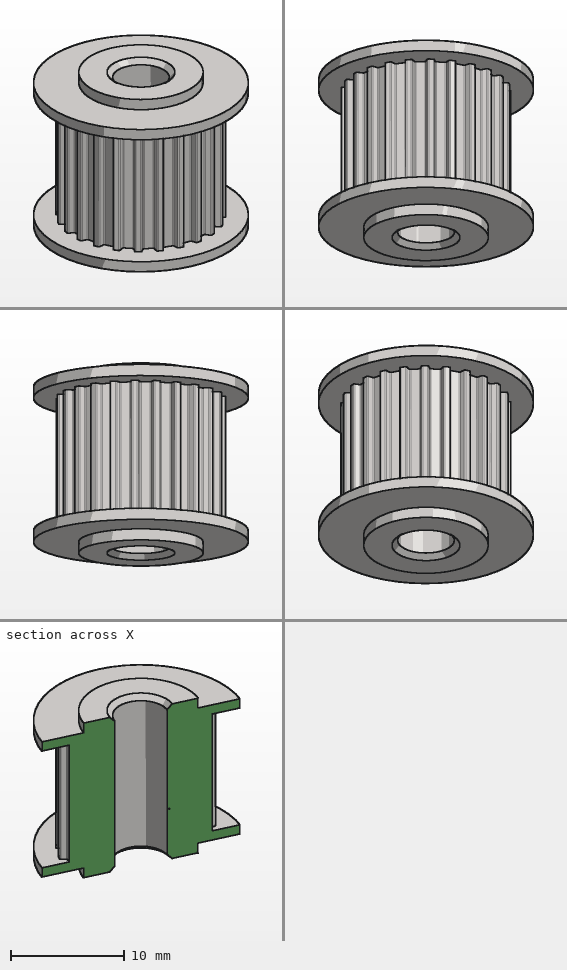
import cadquery as cq
import math

TOOTH_COUNT = 24
BELT_PITCH = 2.032
PITCH_LINE_OFFSET = 0.254
GROOVE_DEPTH = 0.635
GROOVE_FLOOR_WIDTH = 0.94
FLANK_ANGLE = 20.0
GROOVE_FILLET = 0.12
TOOTH_LENGTH = 12.0

FLANGE_DIAMETER = 19.0
FLANGE_THICKNESS = 1.0
HUB_DIAMETER = 11.0
HUB_HEIGHT = 1.0

BORE_DIAMETER = 5.0
BORE_CHAMFER = 0.5

TIP_RADIUS = TOOTH_COUNT * BELT_PITCH / (2 * math.pi) - PITCH_LINE_OFFSET
FLOOR_RADIUS = TIP_RADIUS - GROOVE_DEPTH
TOOTH_ANGLE = 360.0 / TOOTH_COUNT
TEETH_BOTTOM = HUB_HEIGHT + FLANGE_THICKNESS
TEETH_TOP = TEETH_BOTTOM + TOOTH_LENGTH
TOTAL_HEIGHT = TEETH_TOP + FLANGE_THICKNESS + HUB_HEIGHT


def disc(diameter, bottom, height):
    """Solid disc on the Z axis, starting at the given height."""
    return cq.Workplane("XY").workplane(offset=bottom).circle(diameter / 2).extrude(height)


def polar(radius, angle):
    """Point at a radius and an angle in degrees from +X."""
    return (radius * math.cos(math.radians(angle)), radius * math.sin(math.radians(angle)))


def tip_half_angle():
    """Angle, in degrees, from a groove centreline to its sharp tip corner."""
    flank = math.radians(FLANK_ANGLE)
    floor_half = GROOVE_FLOOR_WIDTH / 2
    axis_distance = floor_half * math.cos(flank) - FLOOR_RADIUS * math.sin(flank)
    return FLANK_ANGLE + math.degrees(math.asin(axis_distance / TIP_RADIUS))


def toothed_barrel():
    """Grooved barrel with a groove centred on +X, all groove edges rounded."""
    floor_half_angle = math.degrees(math.atan2(GROOVE_FLOOR_WIDTH / 2, FLOOR_RADIUS))
    floor_corner_radius = math.hypot(GROOVE_FLOOR_WIDTH / 2, FLOOR_RADIUS)
    tip_angle = tip_half_angle()

    outline = cq.Workplane("XY").workplane(offset=TEETH_BOTTOM)
    outline = outline.moveTo(*polar(floor_corner_radius, -floor_half_angle))
    for tooth in range(TOOTH_COUNT):
        groove = tooth * TOOTH_ANGLE
        next_groove = groove + TOOTH_ANGLE
        outline = outline.lineTo(*polar(floor_corner_radius, groove + floor_half_angle))
        outline = outline.lineTo(*polar(TIP_RADIUS, groove + tip_angle))
        outline = outline.threePointArc(
            polar(TIP_RADIUS, groove + TOOTH_ANGLE / 2),
            polar(TIP_RADIUS, next_groove - tip_angle),
        )
        if tooth < TOOTH_COUNT - 1:
            outline = outline.lineTo(*polar(floor_corner_radius, next_groove - floor_half_angle))
    barrel = outline.close().extrude(TOOTH_LENGTH)
    return barrel.edges("|Z").fillet(GROOVE_FILLET)


def end_caps():
    """Flange and hub discs at both ends of the toothed barrel."""
    lower = disc(HUB_DIAMETER, 0, HUB_HEIGHT)
    lower = lower.union(disc(FLANGE_DIAMETER, HUB_HEIGHT, FLANGE_THICKNESS))
    upper = disc(FLANGE_DIAMETER, TEETH_TOP, FLANGE_THICKNESS)
    upper = upper.union(disc(HUB_DIAMETER, TEETH_TOP + FLANGE_THICKNESS, HUB_HEIGHT))
    return lower, upper


def bore_cutter():
    """Through bore widened by a 45 degree chamfer at each end."""
    bore_radius = BORE_DIAMETER / 2
    mouth_radius = bore_radius + BORE_CHAMFER
    profile = (
        cq.Workplane("XZ")
        .moveTo(0, 0)
        .lineTo(mouth_radius, 0)
        .lineTo(bore_radius, BORE_CHAMFER)
        .lineTo(bore_radius, TOTAL_HEIGHT - BORE_CHAMFER)
        .lineTo(mouth_radius, TOTAL_HEIGHT)
        .lineTo(0, TOTAL_HEIGHT)
        .close()
    )
    return profile.revolve(360, (0, 0, 0), (0, 1, 0))


lower_end, upper_end = end_caps()
result = toothed_barrel().union(lower_end).union(upper_end).cut(bore_cutter())